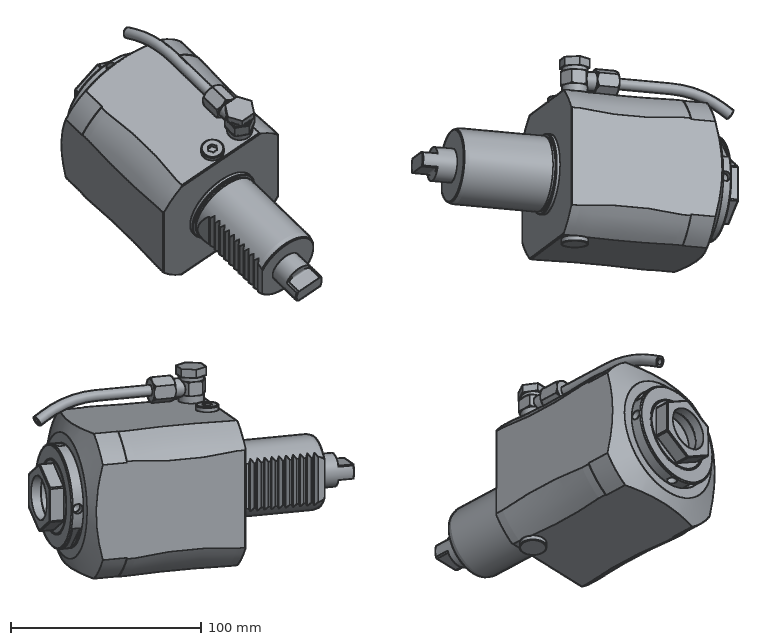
import cadquery as cq
import math


OVERCUT = 1.7

BLOCK_WIDTH = 79.0
BLOCK_FRONT = 14.5
BLOCK_REAR = 101.3
FACE_RADIUS = 34.7
FACE_RIM = 1.2
CONE_REAR = 21.2
FRONT_CORNER_RADIUS = 47.2
REAR_CORNER_RADIUS = 47.5
CORNER_STEP_X = 34.7
WAIST_START = 39.4
WAIST_END = 96.5
WAIST_RADIUS = 46.5
BLOCK_EDGE = 0.5

RING_FRONT = 8.0
RING_RADIUS = 28.0
RING_CHAMFER = 0.7
RING_HOLE_RADIUS = 2.6
RING_HOLE_DEPTH = 3.8
RING_HOLE_POINT = 1.5
RING_HOLE_COUNT = 4
RING_HOLE_X = 11.5
RING_FLAT_START = 9.4
RING_FLAT_END = 13.5
RING_FLAT_DISTANCE = 26.0
RING_FLAT_ANGLES = (45, 225)

FLANGE_RADIUS = 21.3
FLANGE_END = 103.4
FLANGE_CHAMFER = 0.3
SHANK_RADIUS = 20.1
SHANK_END = 154.2
SHANK_NECK_LENGTH = 1.4
SHANK_NECK_DROP = 0.5
SHANK_TIP_LENGTH = 3.0
SHANK_TIP_DROP = 0.7
SHANK_TIP_CHAMFER = 0.5
TOOTH_FLAT_Y = -16.0
RUNOUT_END = 110.3
TOOTH_PITCH = 4.0
TOOTH_COUNT = 10
FIRST_GROOVE_X = 113.1
GROOVE_WIDTH = 3.0
GROOVE_DEPTH = 1.7

BOLT_X = 92.6
BOLT_Y = 20.0
BOLT_TOP = 58.1
BOLT_HEAD_BOTTOM = 53.5
BOLT_HEAD_FLATS = 14.0
BOLT_NECK_RADIUS = 6.8
BANJO_TOP = 51.2
BANJO_BOTTOM = 43.5
BANJO_FLATS = 13.7
BANJO_CHAMFER = 0.5
PIPE_Z = 47.0
ARM_RADIUS = 5.0
PIPE_NUT_FRONT = 69.7
PIPE_NUT_REAR = 81.9
PIPE_NUT_FLATS = 12.3
PIPE_NUT_CHAMFER = 0.9
PIPE_RADIUS = 3.0
PIPE_BORE_RADIUS = 1.7
BEND_START_X = 39.2
BEND_RADIUS = 59.0
BEND_ANGLE = 30.0
PIPE_TIP_LENGTH = 5.4
PIPE_TILT = 19.5

SCREW_X = 94.2
SCREW_RADIUS = 6.0
SCREW_TOP = 42.2
SCREW_CHAMFER = 0.5
SOCKET_FLATS = 4.7
SOCKET_DEPTH = 2.0
PLUG_RADIUS = 7.1
PLUG_BOTTOM = -42.3
PLUG_CHAMFER = 0.3

LENGTH = 173.5
NUT_FLATS = 32.0
NUT_EDGE = 0.5
BORE_RADIUS = 11.8
BORE_DEPTH = 11.1
BORE_LIP = 5.5
UNDERCUT_RADIUS = 12.5
COLLAR_RADIUS = 20.1
COLLAR_CHAMFER = 0.7
SHAFT_RADIUS = 9.0
TANG_START = 164.8
TANG_THICKNESS = 8.0
TANG_CHAMFER = 0.5
TANG_FILLET = 1.0
TANG_FLAT_WIDTH = 14.2
TANG_BEVEL_DROP = 0.7


def corner_radius(flats):
    """Distance from the centre of a hexagon to its corners."""
    return flats / 2 / math.cos(math.pi / 6)


def hexagon(flats, length, plane, point_angle):
    """Hexagonal bar along the plane's normal, with one corner at point_angle in the plane."""
    bar = cq.Workplane("XY").polygon(6, 2 * corner_radius(flats)).extrude(length)
    bar = bar.rotate((0, 0, 0), (0, 0, 1), point_angle)
    return cq.Workplane(bar.val().moved(cq.Location(plane)))


def rod(radius, start, end):
    """Cylinder on the spindle axis from X = start to X = end."""
    return cq.Workplane("YZ", origin=(start, 0, 0)).circle(radius).extrude(end - start)


def post(radius, x, y, bottom, top):
    """Vertical cylinder."""
    return cq.Workplane("XY", origin=(x, y, bottom)).circle(radius).extrude(top - bottom)


def revolved(outline):
    """Turns an outline in the XY plane about the spindle axis."""
    return outline.close().revolve(360, (0, 0, 0), (1, 0, 0))


def make_block():
    turned = revolved(
        cq.Workplane("XY")
        .moveTo(BLOCK_FRONT, 0)
        .lineTo(BLOCK_FRONT, FACE_RADIUS - FACE_RIM)
        .lineTo(BLOCK_FRONT + FACE_RIM / 2, FACE_RADIUS)
        .lineTo(CONE_REAR, FRONT_CORNER_RADIUS)
        .lineTo(CORNER_STEP_X, FRONT_CORNER_RADIUS)
        .lineTo(CORNER_STEP_X, REAR_CORNER_RADIUS)
        .lineTo(WAIST_START, REAR_CORNER_RADIUS)
        .threePointArc(
            ((WAIST_START + WAIST_END) / 2, WAIST_RADIUS), (WAIST_END, REAR_CORNER_RADIUS)
        )
        .lineTo(BLOCK_REAR, REAR_CORNER_RADIUS)
        .lineTo(BLOCK_REAR, 0)
    )
    length = BLOCK_REAR - BLOCK_FRONT
    bar = cq.Workplane("XY").box(length, BLOCK_WIDTH, BLOCK_WIDTH, centered=(False, True, True))
    bar = bar.faces(">X").chamfer(BLOCK_EDGE)
    return turned.intersect(bar.translate((BLOCK_FRONT, 0, 0)))


def make_ring():
    ring = rod(RING_RADIUS, RING_FRONT, BLOCK_FRONT).faces("<X").chamfer(RING_CHAMFER)
    flat = cq.Workplane("XY").box(
        RING_FLAT_END - RING_FLAT_START, 2 * RING_RADIUS, RING_RADIUS, centered=(False, True, False)
    )
    flat = flat.translate((RING_FLAT_START, 0, RING_FLAT_DISTANCE))
    for angle in RING_FLAT_ANGLES:
        ring = ring.cut(flat.rotate((0, 0, 0), (1, 0, 0), -angle))
    straight_end = RING_RADIUS - RING_HOLE_DEPTH
    hole = (
        cq.Workplane("XZ", origin=(RING_HOLE_X, 0, 0))
        .moveTo(0, straight_end - RING_HOLE_POINT)
        .lineTo(RING_HOLE_RADIUS, straight_end)
        .lineTo(RING_HOLE_RADIUS, RING_RADIUS + OVERCUT)
        .lineTo(0, RING_RADIUS + OVERCUT)
        .close()
        .revolve(360, (0, 0, 0), (0, 1, 0))
    )
    for index in range(RING_HOLE_COUNT):
        ring = ring.cut(hole.rotate((0, 0, 0), (1, 0, 0), index * 360 / RING_HOLE_COUNT))
    return ring


def make_shank():
    tip_radius = SHANK_RADIUS - SHANK_TIP_DROP
    shank = revolved(
        cq.Workplane("XY")
        .moveTo(BLOCK_REAR, 0)
        .lineTo(BLOCK_REAR, FLANGE_RADIUS)
        .lineTo(FLANGE_END - FLANGE_CHAMFER, FLANGE_RADIUS)
        .lineTo(FLANGE_END, FLANGE_RADIUS - FLANGE_CHAMFER)
        .lineTo(FLANGE_END, SHANK_RADIUS - SHANK_NECK_DROP)
        .lineTo(FLANGE_END + SHANK_NECK_LENGTH, SHANK_RADIUS)
        .lineTo(SHANK_END - SHANK_TIP_LENGTH, SHANK_RADIUS)
        .lineTo(SHANK_END - SHANK_TIP_CHAMFER, tip_radius)
        .lineTo(SHANK_END, tip_radius - SHANK_TIP_CHAMFER)
        .lineTo(SHANK_END, 0)
    )
    return shank.cut(make_tooth_cutter())


def make_tooth_cutter():
    """Flat with a 45 degree run-out and a row of V grooves along the -Y side of the shank."""
    reach = SHANK_RADIUS + TOOTH_FLAT_Y + OVERCUT
    profile = (
        cq.Workplane("XY")
        .moveTo(SHANK_END, TOOTH_FLAT_Y - reach)
        .lineTo(RUNOUT_END - reach, TOOTH_FLAT_Y - reach)
        .lineTo(RUNOUT_END, TOOTH_FLAT_Y)
    )
    for index in range(TOOTH_COUNT):
        groove_x = FIRST_GROOVE_X + index * TOOTH_PITCH
        profile = (
            profile.lineTo(groove_x - GROOVE_WIDTH / 2, TOOTH_FLAT_Y)
            .lineTo(groove_x, TOOTH_FLAT_Y + GROOVE_DEPTH)
            .lineTo(groove_x + GROOVE_WIDTH / 2, TOOTH_FLAT_Y)
        )
    profile = profile.lineTo(SHANK_END, TOOTH_FLAT_Y).close()
    return profile.extrude(SHANK_RADIUS, both=True)


def make_banjo_bolt():
    block_top = BLOCK_WIDTH / 2
    head_plane = cq.Plane(origin=(BOLT_X, BOLT_Y, BOLT_HEAD_BOTTOM))
    head = hexagon(BOLT_HEAD_FLATS, BOLT_TOP - BOLT_HEAD_BOTTOM, head_plane, 90)
    neck = post(BOLT_NECK_RADIUS, BOLT_X, BOLT_Y, block_top, BOLT_HEAD_BOTTOM)
    banjo_height = BANJO_TOP - BANJO_BOTTOM
    banjo = hexagon(BANJO_FLATS, banjo_height, cq.Plane(origin=(BOLT_X, BOLT_Y, BANJO_BOTTOM)), 0)
    rounding = post(corner_radius(BANJO_FLATS), BOLT_X, BOLT_Y, BANJO_BOTTOM, BANJO_TOP)
    banjo = banjo.intersect(rounding.edges().chamfer(BANJO_CHAMFER))
    return head.union(neck).union(banjo)


def make_pipe_nut():
    axis_plane = cq.Plane(origin=(PIPE_NUT_FRONT, BOLT_Y, PIPE_Z), xDir=(0, 1, 0), normal=(1, 0, 0))
    length = PIPE_NUT_REAR - PIPE_NUT_FRONT
    nut = hexagon(PIPE_NUT_FLATS, length, axis_plane, 90)
    rounding = cq.Workplane(axis_plane).circle(corner_radius(PIPE_NUT_FLATS)).extrude(length)
    nut = nut.intersect(rounding.edges().chamfer(PIPE_NUT_CHAMFER))
    arm = cq.Workplane(axis_plane).circle(ARM_RADIUS).extrude(BOLT_X - PIPE_NUT_FRONT)
    return nut.union(arm)


def make_pipe():
    """Straight pipe, then an arc and a short bored tip, leaning towards the spindle axis."""
    angle = math.radians(BEND_ANGLE)
    bend_end = (BEND_START_X - BEND_RADIUS * math.sin(angle), -BEND_RADIUS * (1 - math.cos(angle)))
    bend_middle = (
        BEND_START_X - BEND_RADIUS * math.sin(angle / 2),
        -BEND_RADIUS * (1 - math.cos(angle / 2)),
    )
    tip = (
        bend_end[0] - PIPE_TIP_LENGTH * math.cos(angle),
        bend_end[1] - PIPE_TIP_LENGTH * math.sin(angle),
    )
    path = (
        cq.Workplane("XZ")
        .moveTo(PIPE_NUT_FRONT, 0)
        .lineTo(BEND_START_X, 0)
        .threePointArc(bend_middle, bend_end)
        .lineTo(*tip)
    )
    pipe = cq.Workplane("YZ", origin=(PIPE_NUT_FRONT, 0, 0)).circle(PIPE_RADIUS).sweep(path)
    tip_plane = cq.Plane(
        origin=(tip[0], 0, tip[1]), xDir=(0, 1, 0), normal=(math.cos(angle), 0, math.sin(angle))
    )
    pipe = pipe.cut(cq.Workplane(tip_plane).circle(PIPE_BORE_RADIUS).extrude(PIPE_TIP_LENGTH))
    return pipe.rotate((0, 0, 0), (1, 0, 0), -PIPE_TILT).translate((0, BOLT_Y, PIPE_Z))


def make_top_screw():
    screw = post(SCREW_RADIUS, SCREW_X, 0, BLOCK_WIDTH / 2, SCREW_TOP)
    screw = screw.faces(">Z").chamfer(SCREW_CHAMFER)
    socket_plane = cq.Plane(origin=(SCREW_X, 0, SCREW_TOP - SOCKET_DEPTH))
    return screw.cut(hexagon(SOCKET_FLATS, SOCKET_DEPTH, socket_plane, 90))


def make_bottom_plug():
    plug = post(PLUG_RADIUS, BOLT_X, BOLT_Y, PLUG_BOTTOM, -BLOCK_WIDTH / 2)
    return plug.faces("<Z").chamfer(PLUG_CHAMFER)


def make_spindle_passage():
    """Stepped hole through the housing that the spindle fills."""
    collar_hole = rod(COLLAR_RADIUS, RING_FRONT, BLOCK_FRONT)
    return collar_hole.union(rod(SHAFT_RADIUS, BLOCK_FRONT, SHANK_END))


def make_housing():
    housing = make_block()
    for part in (
        make_ring(),
        make_shank(),
        make_banjo_bolt(),
        make_pipe_nut(),
        make_pipe(),
        make_top_screw(),
        make_bottom_plug(),
    ):
        housing = housing.union(part)
    return housing.cut(make_spindle_passage())


def make_tang():
    """Shaft whose end has a bevelled flat milled on its top and on its bottom."""
    shaft = rod(SHAFT_RADIUS, BLOCK_FRONT, LENGTH).faces(">X").chamfer(TANG_CHAMFER)
    flat_z = TANG_THICKNESS / 2
    cutter = (
        cq.Workplane("YZ", origin=(TANG_START, 0, 0))
        .moveTo(-TANG_FLAT_WIDTH / 2, flat_z)
        .lineTo(TANG_FLAT_WIDTH / 2, flat_z)
        .lineTo(SHAFT_RADIUS, flat_z - TANG_BEVEL_DROP)
        .lineTo(SHAFT_RADIUS, SHAFT_RADIUS)
        .lineTo(-SHAFT_RADIUS, SHAFT_RADIUS)
        .lineTo(-SHAFT_RADIUS, flat_z - TANG_BEVEL_DROP)
        .close()
        .extrude(LENGTH - TANG_START)
    )
    shoulder_edge = cq.NearestToPointSelector((TANG_START, 0, flat_z))
    cutter = cutter.edges(shoulder_edge).fillet(TANG_FILLET)
    return shaft.cut(cutter).cut(cutter.mirror("XY"))


def make_spindle():
    nut_plane = cq.Plane(origin=(0, 0, 0), xDir=(0, 1, 0), normal=(1, 0, 0))
    nut = hexagon(NUT_FLATS, RING_FRONT, nut_plane, 90)
    nut = nut.edges("|X").chamfer(NUT_EDGE).faces("<X").chamfer(NUT_EDGE)
    collar = rod(COLLAR_RADIUS, RING_FRONT, BLOCK_FRONT).faces("<X").chamfer(COLLAR_CHAMFER)
    bore = rod(BORE_RADIUS, 0, BORE_DEPTH).union(rod(UNDERCUT_RADIUS, BORE_LIP, BORE_DEPTH))
    return nut.union(collar).union(make_tang()).cut(bore)


housing = make_housing()
spindle = make_spindle()

result = cq.Compound.makeCompound([housing.solids().val(), spindle.solids().val()])